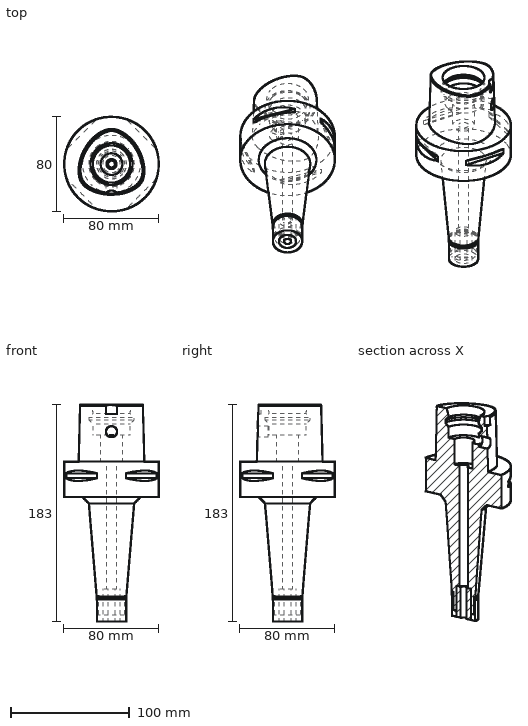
import cadquery as cq
import math

total_length = 183.0
shank_length = 48.1
flange_thickness = 30.0
flange_top = total_length - shank_length
flange_bottom = flange_top - flange_thickness

shank_base_radius = 27.8
shank_taper = 1 / 40
lobe_height = 1.8
lobe_count = 3
rim_chamfer_height = 1.1
rim_chamfer_inset = 0.5
outline_points = 72

flange_diameter = 80.0
flange_radius = flange_diameter / 2
notch_drop = 11.9
notch_floor_height = 4.2
notch_mouth_height = 8.8
notch_floor_length = 36.6
notch_count = 4

cone_top_radius = 24.3
neck_top_radius = 19.2
neck_bottom_radius = 12.6
neck_bottom = 21.2
nose_radius = 11.0
nose_bottom = 5.5

mouth_diameter = 35.3
mouth_radius = mouth_diameter / 2
bore_radius = 15.7
mouth_depth = 6.0
groove_start = 7.5
groove_radius = 19.0
groove_width = 8.8
bore_depth = 25.6
thread_radius = 9.2
thread_depth = shank_length
coolant_radius = 4.2

recess_radius = 5.5
recess_height = 7.9
recess_inner_y = -22.3
side_hole_diameter = 9.3
side_hole_drop = 22.9
side_hole_floor_y = -16.5

nut_radius = 12.5
collar_radius = 12.6
collar_bottom = 18.7
nut_top = 20.5

collet_radius = 7.3
collet_bore_radius = 3.0
collet_length = 27.5


def revolved(profile):
    """Turn a closed (radius, height) profile about the Z axis."""
    return cq.Workplane("XZ").polyline(profile).close().revolve(360, (0, 0), (0, 1))


def trilobe_wire(mean_radius, height):
    """Closed three-lobed outline of constant width, one lobe pointing to +Y."""

    def point(angle):
        lobe_angle = lobe_count * (angle - math.pi / 2)
        reach = mean_radius + lobe_height * math.cos(lobe_angle)
        slope = -lobe_count * lobe_height * math.sin(lobe_angle)
        return cq.Vector(
            reach * math.cos(angle) - slope * math.sin(angle),
            reach * math.sin(angle) + slope * math.cos(angle),
            height,
        )

    step = 2 * math.pi / outline_points
    points = [point(-math.pi / 2 + i * step) for i in range(outline_points)]
    return cq.Wire.assembleEdges([cq.Edge.makeSpline(points, periodic=True)])


def shank():
    """Tapered trilobe with a small chamfer around its rim."""
    chamfer_start = total_length - rim_chamfer_height
    top_radius = shank_base_radius - shank_taper * (shank_length - rim_chamfer_height)
    base_wire = trilobe_wire(shank_base_radius, flange_top)
    top_wire = trilobe_wire(top_radius, chamfer_start)
    rim_wire = trilobe_wire(top_radius - rim_chamfer_inset, total_length)
    taper = cq.Solid.makeLoft([base_wire, top_wire], True)
    chamfer = cq.Solid.makeLoft([top_wire, rim_wire], True)
    return cq.Workplane(taper).union(cq.Workplane(chamfer))


def turned_body():
    """Flange, cone, tapered neck and nose as one turned profile."""
    cone_bottom = flange_bottom - (cone_top_radius - neck_top_radius)
    return revolved(
        [
            (0, flange_top),
            (flange_radius, flange_top),
            (flange_radius, flange_bottom),
            (cone_top_radius, flange_bottom),
            (neck_top_radius, cone_bottom),
            (neck_bottom_radius, neck_bottom),
            (nose_radius, neck_bottom),
            (nose_radius, nose_bottom),
            (0, nose_bottom),
        ]
    )


def bore():
    """Tapered mouth, bevelled grip groove, plain bore, thread, coolant channel and collet pocket."""
    mouth_end = total_length - mouth_depth
    groove_top = total_length - groove_start
    groove_bottom = groove_top - groove_width
    bevel = groove_radius - bore_radius
    bore_floor = total_length - bore_depth
    thread_floor = total_length - thread_depth
    return revolved(
        [
            (0, total_length),
            (mouth_radius, total_length),
            (bore_radius, mouth_end),
            (bore_radius, groove_top),
            (groove_radius, groove_top - bevel),
            (groove_radius, groove_bottom + bevel),
            (bore_radius, groove_bottom),
            (bore_radius, bore_floor),
            (thread_radius, bore_floor),
            (thread_radius, thread_floor),
            (coolant_radius, thread_floor),
            (coolant_radius, collet_length),
            (collet_radius, collet_length),
            (collet_radius, nose_bottom),
            (0, nose_bottom),
        ]
    )


def gripper_notch(angle):
    """V-sided notch with a flat floor, cut across the flange rim at the given angle."""
    floor_distance = math.sqrt(flange_radius**2 - (notch_floor_length / 2) ** 2)
    middle = flange_top - notch_drop
    floor_half = notch_floor_height / 2
    mouth_half = notch_mouth_height / 2
    return (
        cq.Workplane("XZ")
        .polyline(
            [
                (floor_distance, middle - floor_half),
                (flange_radius, middle - mouth_half),
                (flange_radius, middle + mouth_half),
                (floor_distance, middle + floor_half),
            ]
        )
        .close()
        .extrude(notch_floor_length / 2, both=True)
        .rotate((0, 0, 0), (0, 0, 1), angle)
    )


def key_recess():
    """Round-backed recess open to the rim and to the -Y face."""
    return (
        cq.Workplane("XY", origin=(0, recess_inner_y - recess_radius, total_length))
        .circle(recess_radius)
        .extrude(-recess_height)
    )


def side_hole():
    """Flat-bottomed round hole entering from -Y."""
    return (
        cq.Workplane("XZ", origin=(0, side_hole_floor_y, total_length - side_hole_drop))
        .circle(side_hole_diameter / 2)
        .extrude(flange_radius)
    )


def make_holder():
    holder = turned_body().union(shank()).cut(bore())
    holder = holder.cut(key_recess()).cut(side_hole())
    for i in range(notch_count):
        holder = holder.cut(gripper_notch((i + 0.5) * 360 / notch_count))
    return holder.solids()


def make_nut():
    """Cap nut around the nose, with a slightly larger collar at its top."""
    return revolved(
        [
            (collet_radius, 0),
            (nut_radius, 0),
            (nut_radius, collar_bottom),
            (collar_radius, collar_bottom),
            (collar_radius, nut_top),
            (nose_radius, nut_top),
            (nose_radius, nose_bottom),
            (collet_radius, nose_bottom),
        ]
    )


def make_collet():
    """Plain sleeve, flush with the nut and seated in the holder's pocket."""
    return cq.Workplane("XY").circle(collet_radius).circle(collet_bore_radius).extrude(collet_length)


holder = make_holder()
nut = make_nut()
collet = make_collet()

result = cq.Compound.makeCompound([holder.val(), nut.val(), collet.val()])